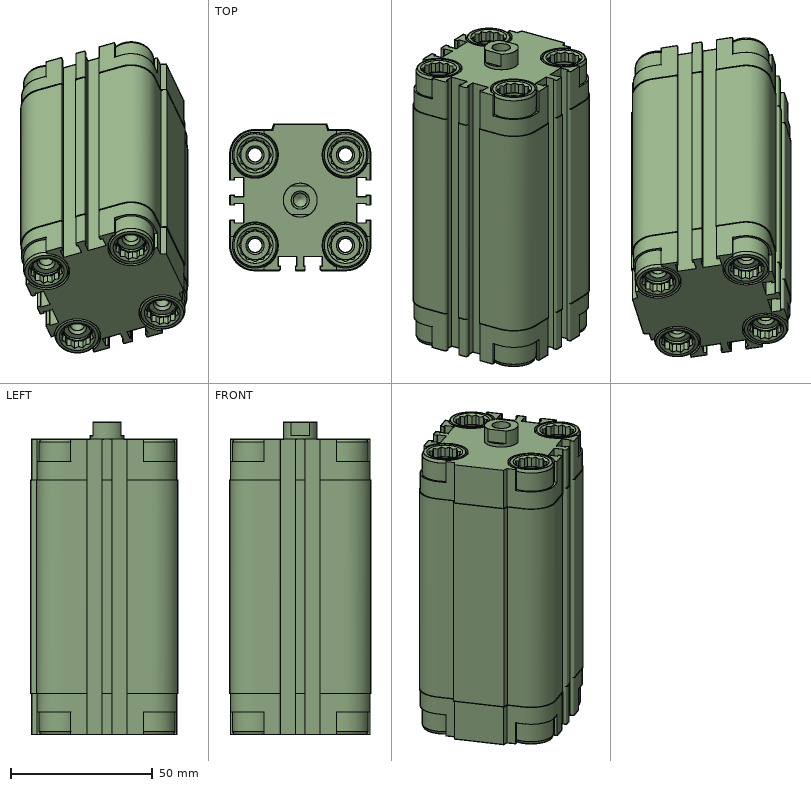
import cadquery as cq
import math

BARREL_SIDE = 50.0
HOUSING_HEIGHT = 104.5
CAP_HEIGHT = 14.5
CAP_INSET = 0.3
BARREL_HEIGHT = HOUSING_HEIGHT - 2 * CAP_HEIGHT
BOLT_OFFSET = 16.0
CORNER_RADIUS = BARREL_SIDE / 2 - BOLT_OFFSET

RAIL_HEIGHT = 2.0
RAIL_BASE_HALF_WIDTH = 10.0
RAIL_TOP_HALF_WIDTH = 9.4

SLOT_FLOOR = 20.0
LIP_BACK = 23.3
RIB_HALF_WIDTH = 1.25
RIB_LIP_HALF_WIDTH = 1.75
SLOT_OUTER_LIP = 7.05
SIDE_SLOT_WALL = 8.0
SIDE_LIP_ROUNDING = 0.35
FRONT_SLOT_WALL = 7.75
FRONT_LIP_ROUNDING = 0.7
FRONT_RIB_ROUNDING = 0.5

HEAD_DIAMETER = 16.0
POCKET_DIAMETER = 16.5
HEAD_HEIGHT = 8.0
HEAD_BEVEL_WIDTH = 0.5
HEAD_BEVEL_HEIGHT = 1.1
POCKET_EDGE = 12.9
SOCKET_MOUTH_DIAMETER = 12.7
SOCKET_ACROSS_FLATS = 10.0
SOCKET_CORNER_DIAMETER = SOCKET_ACROSS_FLATS / math.cos(math.pi / 6)
SOCKET_CONE_DEPTH = 0.8
SOCKET_DEPTH = 4.0
SOCKET_INNER_DIAMETER = 10.1
SOCKET_RECESS_DEPTH = 5.0
BOLT_BORE_DIAMETER = 4.92
BOLT_COUNTERSINK_DIAMETER = 6.4
BOLT_COUNTERSINK_DEPTH = 1.3

ROD_DIAMETER = 12.0
ROD_PROJECTION = 6.0
ROD_FLATS_WIDTH = 10.0
ROD_COLLAR_HEIGHT = 1.25
ROD_HOLE_DIAMETER = 4.92
ROD_COUNTERBORE_DIAMETER = 6.4
ROD_COUNTERBORE_DEPTH = 2.8
ROD_HOLE_DEPTH = 10.0
DRILL_POINT_ANGLE = 118.0
ROD_TOP = HOUSING_HEIGHT + ROD_PROJECTION
ROD_SEAT = HOUSING_HEIGHT - CAP_HEIGHT


def cone(top_diameter, bottom_diameter, top, depth):
    """Cone frustum on the Z axis, from its wide face at height `top` downwards."""
    down = cq.Vector(0, 0, -1)
    return cq.Workplane(
        cq.Solid.makeCone(top_diameter / 2, bottom_diameter / 2, depth, cq.Vector(0, 0, top), down)
    )


def cylinder(diameter, bottom, top):
    """Cylinder on the Z axis between two heights."""
    return cq.Workplane().workplane(offset=bottom).circle(diameter / 2).extrude(top - bottom)


def slot(face, wall, rib_rounding, lip_rounding):
    """Outline of one slot below an outer face at y = -face, on the +X side of the rib.

    The rib and the outer lip have rounded edges where they meet the outer face.
    """
    rib_centre = RIB_LIP_HALF_WIDTH - rib_rounding
    lip_centre = SLOT_OUTER_LIP + lip_rounding
    rib_bend = rib_rounding * math.sqrt(0.5)
    lip_bend = lip_rounding * math.sqrt(0.5)
    rib_mid = (rib_centre + rib_bend, rib_rounding - face - rib_bend)
    lip_mid = (lip_centre - lip_bend, lip_rounding - face - lip_bend)
    return (
        cq.Workplane()
        .moveTo(RIB_HALF_WIDTH, -SLOT_FLOOR)
        .lineTo(RIB_HALF_WIDTH, -LIP_BACK)
        .lineTo(RIB_LIP_HALF_WIDTH, -LIP_BACK)
        .lineTo(RIB_LIP_HALF_WIDTH, rib_rounding - face)
        .threePointArc(rib_mid, (rib_centre, -face))
        .lineTo(lip_centre, -face)
        .threePointArc(lip_mid, (SLOT_OUTER_LIP, lip_rounding - face))
        .lineTo(SLOT_OUTER_LIP, -LIP_BACK)
        .lineTo(wall, -LIP_BACK)
        .lineTo(wall, -SLOT_FLOOR)
        .close()
    )


def section(inset, bottom, height):
    """A length of the slotted housing profile, its outer faces moved inwards by `inset`."""
    face = BARREL_SIDE / 2 - inset
    body = cq.Workplane().rect(2 * face, 2 * face).extrude(height)
    body = body.edges("|Z").fillet(CORNER_RADIUS - inset)
    rail = (
        cq.Workplane()
        .polyline([
            (-RAIL_BASE_HALF_WIDTH + inset, face),
            (-RAIL_TOP_HALF_WIDTH + inset, face + RAIL_HEIGHT),
            (RAIL_TOP_HALF_WIDTH - inset, face + RAIL_HEIGHT),
            (RAIL_BASE_HALF_WIDTH - inset, face),
        ])
        .close()
        .extrude(height)
    )
    body = body.union(rail)
    side_slot = slot(face, SIDE_SLOT_WALL, SIDE_LIP_ROUNDING, SIDE_LIP_ROUNDING).extrude(height)
    front_slot = slot(face, FRONT_SLOT_WALL, FRONT_RIB_ROUNDING, FRONT_LIP_ROUNDING).extrude(height)
    for one_slot, angle in ((side_slot, -90), (front_slot, 0), (side_slot, 90)):
        for groove in (one_slot, one_slot.mirror("YZ")):
            body = body.cut(groove.rotate((0, 0, 0), (0, 0, 1), angle))
    return body.translate((0, 0, bottom))


def head_surround():
    """Waste around one bolt head on the upper cap, centred on the bolt axis, open towards +X and +Y."""
    reach = BARREL_SIDE / 2 - POCKET_EDGE
    bottom = HOUSING_HEIGHT - HEAD_HEIGHT
    corner = (
        cq.Workplane()
        .box(reach, reach, HEAD_HEIGHT, centered=False)
        .translate((POCKET_EDGE - BOLT_OFFSET, POCKET_EDGE - BOLT_OFFSET, bottom))
    )
    bevel_bottom = HOUSING_HEIGHT - HEAD_BEVEL_HEIGHT
    pocket = cylinder(POCKET_DIAMETER, bottom, HOUSING_HEIGHT)
    bevelled_head = cylinder(HEAD_DIAMETER, bottom, bevel_bottom).union(
        cone(HEAD_DIAMETER - 2 * HEAD_BEVEL_WIDTH, HEAD_DIAMETER, HOUSING_HEIGHT, HEAD_BEVEL_HEIGHT)
    )
    return corner.union(pocket).cut(bevelled_head)


def head_socket():
    """Twelve-point socket, its conical mouth, the recess below it and the countersink of the bore."""
    teeth_bottom = HOUSING_HEIGHT - SOCKET_DEPTH
    floor = HOUSING_HEIGHT - SOCKET_RECESS_DEPTH
    socket = cone(SOCKET_MOUTH_DIAMETER, SOCKET_INNER_DIAMETER, HOUSING_HEIGHT, SOCKET_CONE_DEPTH)
    for angle in (0, 30):
        hexagon = (
            cq.Workplane()
            .workplane(offset=teeth_bottom)
            .polygon(6, SOCKET_CORNER_DIAMETER)
            .extrude(SOCKET_DEPTH)
            .rotate((0, 0, 0), (0, 0, 1), angle)
        )
        socket = socket.union(hexagon)
    recess = cylinder(SOCKET_INNER_DIAMETER, floor, teeth_bottom)
    countersink = cone(BOLT_COUNTERSINK_DIAMETER, BOLT_BORE_DIAMETER, floor, BOLT_COUNTERSINK_DEPTH)
    return socket.union(recess).union(countersink)


def make_housing():
    """Barrel and both end caps with the bolt heads, through bores and the seat of the rod."""
    body = section(0, CAP_HEIGHT, BARREL_HEIGHT)
    for bottom in (0, HOUSING_HEIGHT - CAP_HEIGHT):
        body = body.union(section(CAP_INSET, bottom, CAP_HEIGHT))

    upper_tool = head_surround().union(head_socket())
    lower_tool = upper_tool.mirror("XY", (0, 0, HOUSING_HEIGHT / 2))
    bore = cylinder(BOLT_BORE_DIAMETER, 0, HOUSING_HEIGHT)
    for quarter in range(4):
        for tool in (upper_tool, lower_tool, bore):
            placed = tool.translate((BOLT_OFFSET, BOLT_OFFSET, 0))
            body = body.cut(placed.rotate((0, 0, 0), (0, 0, 1), 90 * quarter))

    rod_seat = cylinder(ROD_DIAMETER, ROD_SEAT, HOUSING_HEIGHT)
    return body.cut(rod_seat)


def make_rod():
    """Rod end with two wrench flats and a counterbored blind hole."""
    rod = cylinder(ROD_DIAMETER, ROD_SEAT, ROD_TOP)
    flats_bottom = HOUSING_HEIGHT + ROD_COLLAR_HEIGHT
    flats_height = ROD_TOP - flats_bottom
    for side in (-1, 1):
        flat = (
            cq.Workplane()
            .box(ROD_DIAMETER, ROD_DIAMETER, flats_height, centered=(True, True, False))
            .translate((0, side * (ROD_FLATS_WIDTH + ROD_DIAMETER) / 2, flats_bottom))
        )
        rod = rod.cut(flat)

    hole_bottom = ROD_TOP - ROD_HOLE_DEPTH
    drill_slope = math.tan(math.radians(DRILL_POINT_ANGLE / 2))
    point_depth = ROD_HOLE_DIAMETER / 2 / drill_slope
    counterbore_bottom = ROD_TOP - ROD_COUNTERBORE_DEPTH
    countersink_depth = (ROD_COUNTERBORE_DIAMETER - ROD_HOLE_DIAMETER) / 2 / drill_slope
    rod = rod.cut(cylinder(ROD_HOLE_DIAMETER, hole_bottom, ROD_TOP))
    rod = rod.cut(cone(ROD_HOLE_DIAMETER, 0, hole_bottom, point_depth))
    rod = rod.cut(cylinder(ROD_COUNTERBORE_DIAMETER, counterbore_bottom, ROD_TOP))
    return rod.cut(cone(ROD_COUNTERBORE_DIAMETER, ROD_HOLE_DIAMETER, counterbore_bottom, countersink_depth))


housing = make_housing()
piston_rod = make_rod()

result = cq.Compound.makeCompound([housing.val(), piston_rod.val()])